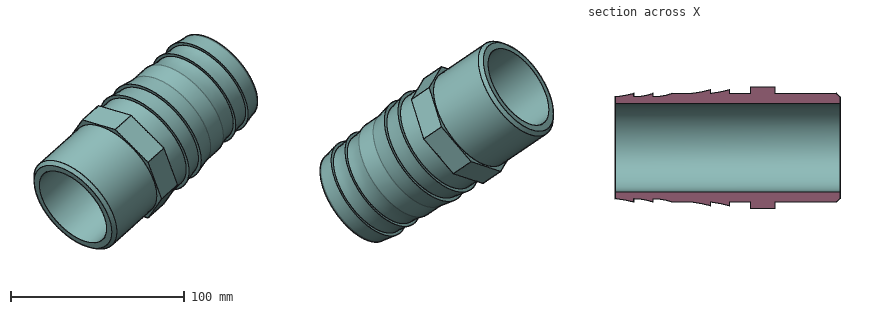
import cadquery as cq

length = 130.0
bore_diameter = 51.0
body_radius = 63.0 / 2
inlet_chamfer = 2.1

collar_sides = 8
collar_corner_diameter = 70.3
collar_start = 37.7
collar_width = 14.2

barb_pitch = 10.9
large_barb_start = 64.0
large_barb_radius = 33.7
large_barb_count = 2
neck_radius = 29.6
curved_barb_start = 97.1
curved_barb_length = 11.0
curved_barb_count = 2
tip_rim_length = 0.8


def barb_arc_middle(start):
    """Midpoint of a barb arc that leaves the neck parallel to the axis."""
    rise = body_radius - neck_radius
    arc_radius = (curved_barb_length**2 + rise**2) / (2 * rise)
    half_length = curved_barb_length / 2
    sagitta = arc_radius - (arc_radius**2 - half_length**2) ** 0.5
    return (neck_radius + sagitta, start + half_length)


def make_body():
    """Revolve the outer half-profile, drawn as (radius, position along Y)."""
    profile = (
        cq.Workplane("XY")
        .lineTo(body_radius - inlet_chamfer, 0)
        .lineTo(body_radius, inlet_chamfer)
        .lineTo(body_radius, large_barb_start)
    )
    for index in range(large_barb_count):
        start = large_barb_start + index * barb_pitch
        profile = profile.lineTo(large_barb_radius, start)
        profile = profile.lineTo(body_radius, start + barb_pitch)
    profile = profile.lineTo(body_radius, curved_barb_start)
    for index in range(curved_barb_count):
        start = curved_barb_start + index * curved_barb_length
        end = start + curved_barb_length
        profile = profile.threePointArc(barb_arc_middle(start), (neck_radius, end))
        profile = profile.lineTo(body_radius, end)
    profile = (
        profile.lineTo(neck_radius, length - tip_rim_length)
        .lineTo(neck_radius, length)
        .lineTo(0, length)
        .close()
    )
    return profile.revolve(360, (0, 0, 0), (0, 1, 0))


def make_collar():
    return (
        cq.Workplane("XZ", origin=(0, collar_start, 0))
        .polygon(collar_sides, collar_corner_diameter)
        .extrude(-collar_width)
    )


def make_bore():
    return cq.Workplane("XZ").circle(bore_diameter / 2).extrude(-length)


result = make_body().union(make_collar()).cut(make_bore())